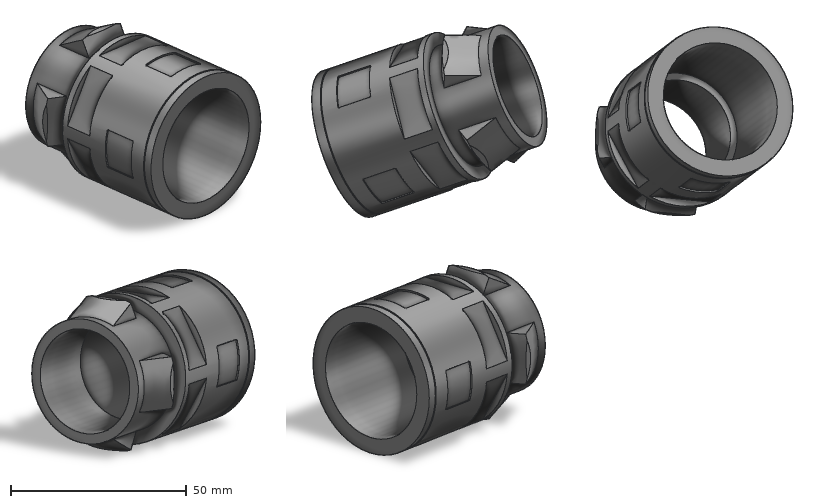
import cadquery as cq

total_length = 54.7
outer_diameter = 44.0
outer_radius = outer_diameter / 2
spigot_diameter = 36.4
spigot_radius = spigot_diameter / 2
inlet_bore_diameter = 30.5
body_bore_diameter = 34.5

shoulder_x = 18.8
bore_step_x = 20.8

lug_start_x = 3.05
lug_peak_x = 12.3
lug_end_x = 15.0
lug_peak_radius = 22.75
lug_width = 15.15

hex_start_x = 20.8
hex_length = 8.9
hex_across_flats = 39.95
hex_turn = 30

window_start_x = 36.15
window_length = 10.5
window_width = 11.9
window_corner_radius = 0.4
window_floor_diameter = 43.0

groove_x = 51.7
groove_width = 0.2
groove_depth = 0.15

QUARTER_TURNS = (0, 90, 180, 270)


def rod(start_x, length, diameter):
    """Solid cylinder on the X axis."""
    return cq.Workplane("YZ", origin=(start_x, 0, 0)).circle(diameter / 2).extrude(length)


def around_axis(shape, angle):
    return shape.rotate((0, 0, 0), (1, 0, 0), angle)


def make_lug_ring():
    """Double-coned ring whose outer surface gives the lugs their ramps."""
    root_radius = inlet_bore_diameter / 2
    profile = [
        (lug_start_x, root_radius),
        (lug_start_x, spigot_radius),
        (lug_peak_x, lug_peak_radius),
        (lug_end_x, spigot_radius),
        (lug_end_x, root_radius),
    ]
    return cq.Workplane("XY").polyline(profile).close().revolve(360, (0, 0, 0), (1, 0, 0))


def make_lug():
    """Top lug: a straight-sided slice of the ring with a flat crest."""
    slice_box = cq.Workplane("XY").box(
        shoulder_x, lug_width, outer_radius, centered=(False, True, False)
    )
    return make_lug_ring().intersect(slice_box)


def make_hex_cutter():
    """Material outside the hexagon; rotated so that two of the flats face up and down."""
    hexagon = cq.Workplane("YZ", origin=(hex_start_x, 0, 0)).polygon(
        6, hex_across_flats, circumscribed=True
    ).extrude(hex_length)
    hexagon = around_axis(hexagon, hex_turn)
    return rod(hex_start_x, hex_length, 2 * outer_diameter).cut(hexagon)


def make_window_cutter():
    """Rounded rectangular recess on top, with a cylindrical floor."""
    centre_x = window_start_x + window_length / 2
    block = (
        cq.Workplane("XY", origin=(centre_x, 0, 0))
        .rect(window_length, window_width)
        .extrude(outer_diameter)
        .edges("|Z")
        .fillet(window_corner_radius)
    )
    return block.cut(rod(0, total_length, window_floor_diameter))


result = rod(0, total_length, spigot_diameter)
result = result.union(rod(shoulder_x, total_length - shoulder_x, outer_diameter))

lug = make_lug()
window_cutter = make_window_cutter()
for angle in QUARTER_TURNS:
    result = result.union(around_axis(lug, angle))
    result = result.cut(around_axis(window_cutter, angle))

result = result.cut(make_hex_cutter())

groove_floor_diameter = outer_diameter - 2 * groove_depth
groove = rod(groove_x, groove_width, 2 * outer_diameter).cut(
    rod(groove_x, groove_width, groove_floor_diameter)
)
result = result.cut(groove)

result = result.cut(rod(0, total_length, inlet_bore_diameter))
result = result.cut(rod(bore_step_x, total_length - bore_step_x, body_bore_diameter))